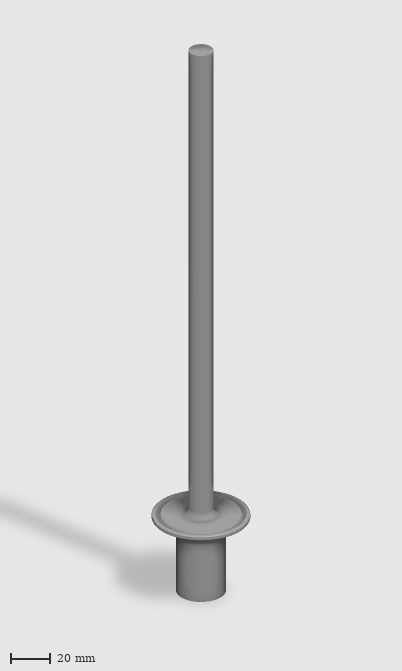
import cadquery as cq
import math

total_height = 311.0
flange_diameter = 50.0
stem_diameter = 25.5
rod_diameter = 12.8

flange_top = 44.2
rim_thickness = 2.2
rim_rounding = 0.5
cone_angle = 20.0
stem_fillet = 4.0
rod_fillet = 3.5

groove_center_radius = 21.8
groove_half_width = 1.2
groove_depth = 1.0

flange_radius = flange_diameter / 2
stem_radius = stem_diameter / 2
rod_radius = rod_diameter / 2
rim_bottom = flange_top - rim_thickness
cone_drop = (flange_radius - stem_radius) * math.tan(math.radians(cone_angle))
cone_bottom = rim_bottom - cone_drop


def make_body():
    """Revolve the solid stem, conical clamp flange and rod around Z."""
    profile = (
        cq.Workplane("XZ")
        .lineTo(stem_radius, 0)
        .lineTo(stem_radius, cone_bottom)
        .lineTo(flange_radius, rim_bottom)
        .lineTo(flange_radius, flange_top)
        .lineTo(rod_radius, flange_top)
        .lineTo(rod_radius, total_height)
        .lineTo(0, total_height)
        .close()
    )
    return profile.revolve(360, (0, 0, 0), (0, 1, 0))


def circular_edge(radius, height):
    """Select the full circle at a given radius and height."""
    margin = 0.03
    reach = radius + margin
    return cq.selectors.BoxSelector(
        (-reach, -reach, height - margin), (reach, reach, height + margin), boundingbox=True
    )


def round_edge(body, radius, height, rounding):
    """Round one circular edge of the body."""
    return body.edges("%CIRCLE").edges(circular_edge(radius, height)).fillet(rounding)


def make_groove():
    """Ring whose lower side is the arc of the seal groove."""
    profile = (
        cq.Workplane("XZ")
        .moveTo(groove_center_radius - groove_half_width, flange_top)
        .threePointArc(
            (groove_center_radius, flange_top - groove_depth),
            (groove_center_radius + groove_half_width, flange_top),
        )
        .close()
    )
    return profile.revolve(360, (0, 0, 0), (0, 1, 0))


body = make_body()
body = round_edge(body, stem_radius, cone_bottom, stem_fillet)
body = round_edge(body, rod_radius, flange_top, rod_fillet)
body = round_edge(body, flange_radius, flange_top, rim_rounding)
body = round_edge(body, flange_radius, rim_bottom, rim_rounding)
result = body.cut(make_groove())